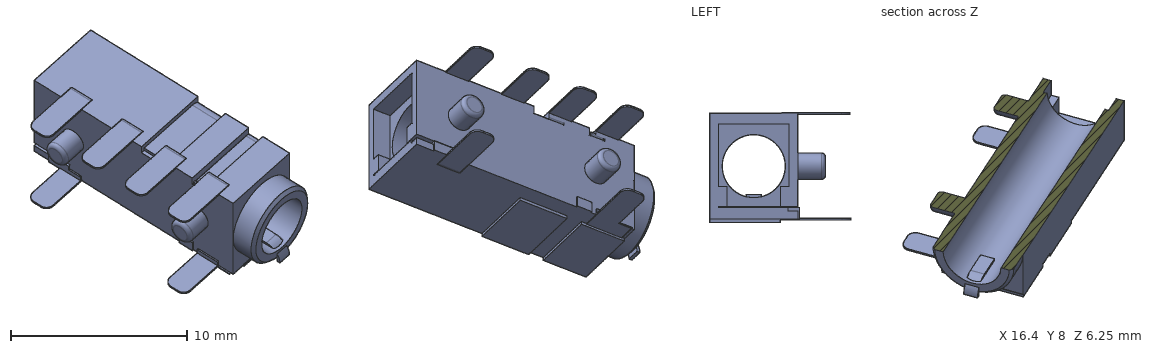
import cadquery as cq
import math


body_length = 14.68
body_width = 5.0
body_height = 6.0
overall_depth = 8.0
half_width = body_width / 2
half_height = body_height / 2
barrel_diameter = 4.99
barrel_end = 16.19
barrel_chamfer = 0.2
bore_diameter = 3.56

recess_depth = 1.12
recess_top = 2.4
recess_step = -1.16
recess_half_width = 2.0
recess_throat_half_width = 1.51

slot_top = -2.28
slot_floor = -2.53
ground_top = -2.33
ground_short_edge = -1.94
ground_tab_start = 1.15
ground_tab_step = 2.62

peg_positions = (2.89, 12.09)
peg_diameter = 1.51
peg_length = 1.57
peg_rounding = 0.25

pin_width = 1.51
pin_thickness = 0.11
pin_outer_z = 3.05
pin_root_y = -1.45
pin_bend_radius = 0.25
bend_start_y = pin_root_y - pin_bend_radius
pin_corner_radius = 0.5
upper_pin_tip_y = -5.46
lower_pin_tip_y = half_width - overall_depth
first_pin_x = 1.98
second_pin_x = 5.74
third_pin_x = 8.94
fourth_pin_x = 12.1

channel_floor = 2.5
wide_channel = (7.92, 9.94)
narrow_channel = (11.66, 12.7)
narrow_contact = (11.76, 12.6)
contact_top = 2.69
wide_bend_start = 2.0
narrow_bend_start = 2.15
bend_rounding = 0.13
wide_contact_edge = -2.26
narrow_contact_edge = -2.36
narrow_shoulder_top = 2.75

tab_thickness = 0.1
tab_front_y = -half_width - tab_thickness
tall_tab = (10.77, 11.76)
tall_tab_top = -2.33
short_tab_top = -2.64
foot_end = 14.48

floor_plates = ((7.63, 10.77), (11.76, 14.65))
floor_plate_bottom = -3.2
floor_plate_front_y = -1.51

spring_tip_x = 16.4
spring_tip_z = -2.59
spring_radius = 1.0
spring_thickness = 0.2
spring_width = 0.85
spring_start = 13.94


def box(x_range, y_range, z_range):
    """Box between the two limits given for each axis."""
    ranges = (x_range, y_range, z_range)
    sizes = [high - low for low, high in ranges]
    corner = tuple(low for low, high in ranges)
    return cq.Workplane("XY").box(*sizes, centered=False).translate(corner)


def make_housing():
    housing = box((0, body_length), (-half_width, half_width), (-half_height, half_height))
    barrel = (
        cq.Workplane("YZ", origin=(body_length, 0, 0))
        .circle(barrel_diameter / 2)
        .extrude(barrel_end - body_length)
        .faces(">X")
        .chamfer(barrel_chamfer)
    )
    bore = cq.Workplane("YZ").circle(bore_diameter / 2).extrude(barrel_end)
    recess = box((0, recess_depth), (-recess_half_width, recess_half_width), (recess_step, recess_top))
    throat = box(
        (0, recess_depth),
        (-recess_throat_half_width, recess_throat_half_width),
        (slot_top, recess_step),
    )
    slot = box((0, ground_tab_step), (-half_width, recess_half_width), (slot_floor, slot_top))
    housing = housing.union(barrel)
    for cavity in (bore, recess, throat, slot):
        housing = housing.cut(cavity)
    for channel in (wide_channel, narrow_channel):
        housing = housing.cut(box(channel, (-half_width, half_width), (channel_floor, half_height)))
    return housing


def make_ground_contact():
    """Flat plate in the floor slot, folded down over the -Y face."""
    plate = box((0, ground_tab_step), (ground_short_edge, recess_half_width), (slot_floor, ground_top))
    tall_span = (ground_tab_start, ground_tab_step)
    bridge = box(tall_span, (tab_front_y, ground_short_edge), (slot_floor, ground_top))
    tall_fold = box(tall_span, (tab_front_y, -half_width), (-half_height, ground_top))
    short_fold = box(
        (ground_tab_step, first_pin_x + pin_width),
        (tab_front_y, -half_width),
        (-half_height, short_tab_top),
    )
    return plate.union(bridge).union(tall_fold).union(short_fold)


def make_peg(x):
    return (
        cq.Workplane("XZ", origin=(x, -half_width, 0))
        .circle(peg_diameter / 2)
        .extrude(peg_length)
        .faces("<Y")
        .edges()
        .fillet(peg_rounding)
    )


def make_pin(x, tip_y):
    """Pin along the top face: bent into the housing at its root, rounded at its tip."""
    span = (x, x + pin_width)
    blade = box(span, (tip_y, bend_start_y), (pin_outer_z - pin_thickness, pin_outer_z))
    blade = blade.edges("|Z and <Y").fillet(pin_corner_radius)
    root = box(span, (-half_width, pin_root_y), (contact_top, pin_outer_z))
    root = root.edges("|X and >Y and >Z").fillet(pin_bend_radius)
    return blade.union(root)


def make_switch_contact(x_range, front_edge, bend_start):
    """Plate lying across a channel, curving down to the channel floor at its +Y end."""
    drop = contact_top - channel_floor
    run = half_width - bend_start
    radius = (run**2 + drop**2) / (2 * drop)
    half_angle = math.atan2(drop, run)
    middle = (
        bend_start + radius * math.sin(half_angle),
        contact_top - radius * (1 - math.cos(half_angle)),
    )
    return (
        cq.Workplane("YZ", origin=(x_range[0], 0, 0))
        .moveTo(front_edge, channel_floor)
        .lineTo(front_edge, contact_top)
        .lineTo(bend_start, contact_top)
        .threePointArc(middle, (half_width, channel_floor))
        .close()
        .extrude(x_range[1] - x_range[0])
    )


def make_fold(x_range, back_y, top):
    """Upright end of a switch contact, rounded where it leaves the channel floor."""
    fold = box(x_range, (-half_width, back_y), (channel_floor, top))
    return fold.edges("|X and <Y and <Z").fillet(bend_rounding)


def make_spring():
    """Leaf spring that hooks down over the mouth of the barrel."""
    centre_x = spring_tip_x - spring_radius
    inner_radius = spring_radius - spring_thickness
    diagonal = math.sqrt(0.5)
    top = spring_tip_z + spring_radius
    return (
        cq.Workplane("XZ", origin=(0, spring_width / 2, 0))
        .moveTo(spring_start, top)
        .lineTo(centre_x, top)
        .threePointArc(
            (centre_x + spring_radius * diagonal, spring_tip_z + spring_radius * diagonal),
            (spring_tip_x, spring_tip_z),
        )
        .lineTo(spring_tip_x - spring_thickness, spring_tip_z)
        .threePointArc(
            (centre_x + inner_radius * diagonal, spring_tip_z + inner_radius * diagonal),
            (centre_x, spring_tip_z + inner_radius),
        )
        .lineTo(spring_start, spring_tip_z + inner_radius)
        .close()
        .extrude(spring_width)
    )


parts = [make_ground_contact(), make_spring()]

for peg_x in peg_positions:
    parts.append(make_peg(peg_x))

for pin_x in (first_pin_x, second_pin_x, third_pin_x, fourth_pin_x):
    parts.append(make_pin(pin_x, upper_pin_tip_y))
for pin_x in (first_pin_x, fourth_pin_x):
    parts.append(make_pin(pin_x, lower_pin_tip_y).mirror("XY"))

parts.append(make_switch_contact(wide_channel, wide_contact_edge, wide_bend_start))
parts.append(make_fold((third_pin_x, wide_channel[1]), bend_start_y, half_height))
parts.append(make_switch_contact(narrow_contact, narrow_contact_edge, narrow_bend_start))
parts.append(make_fold(narrow_contact, narrow_contact_edge, narrow_shoulder_top))
parts.append(make_fold((fourth_pin_x, narrow_contact[1]), bend_start_y, half_height))
parts.append(
    box(
        (narrow_contact[1], narrow_channel[1]),
        (-half_width, bend_start_y),
        (channel_floor + bend_rounding, half_height),
    )
)

parts.append(box(tall_tab, (tab_front_y, -half_width), (-half_height, tall_tab_top)))
parts.append(
    box((fourth_pin_x, fourth_pin_x + pin_width), (tab_front_y, -half_width), (-half_height, short_tab_top))
)
parts.append(
    box((fourth_pin_x, foot_end), (tab_front_y, floor_plate_front_y), (-pin_outer_z, -half_height))
)

for plate_x in floor_plates:
    parts.append(box(plate_x, (floor_plate_front_y, half_width), (floor_plate_bottom, -half_height)))

result = make_housing()
for part in parts:
    result = result.union(part)